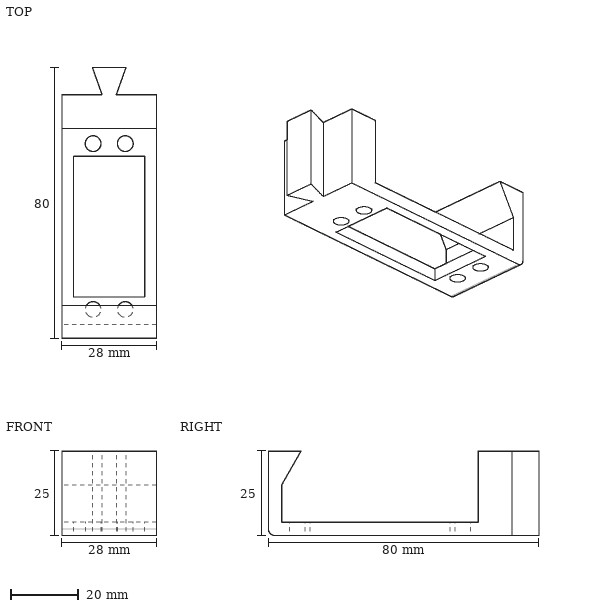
import cadquery as cq

width = 28.0
height = 25.0
floor_thickness = 4.0
front_wall_thickness = 4.0
back_wall_thickness = 10.0
body_length = 72.0
front_edge_radius = 2.0

lip_overhang = 5.7
lip_height = 10.0

dovetail_length = 8.0
dovetail_root_width = 4.3
dovetail_tip_width = 10.0

window_width = 21.0
window_length = 41.5
window_center_y = 33.0
hole_diameter = 4.6
hole_spacing_x = 9.5
hole_spacing_y = 49.0


def make_body():
    """U-shaped side profile, drawn in the YZ plane and centred across X."""
    back_wall_y = body_length - back_wall_thickness
    profile = [
        (0, 0),
        (body_length, 0),
        (body_length, height),
        (back_wall_y, height),
        (back_wall_y, floor_thickness),
        (front_wall_thickness, floor_thickness),
        (front_wall_thickness, height - lip_height),
        (front_wall_thickness + lip_overhang, height),
        (0, height),
    ]
    body = cq.Workplane("YZ").polyline(profile).close().extrude(width / 2, both=True)
    return body.faces("<Y").edges("<Z").fillet(front_edge_radius)


def make_dovetail():
    """Full-height tail that widens away from the back face."""
    tip_y = body_length + dovetail_length
    outline = [
        (-dovetail_root_width / 2, body_length),
        (dovetail_root_width / 2, body_length),
        (dovetail_tip_width / 2, tip_y),
        (-dovetail_tip_width / 2, tip_y),
    ]
    return cq.Workplane("XY").polyline(outline).close().extrude(height)


def make_floor_openings():
    """Window and four screw holes, cutting through the floor only."""
    floor = cq.Workplane("XY").center(0, window_center_y)
    window = floor.rect(window_width, window_length).extrude(floor_thickness)
    holes = (
        floor.rarray(hole_spacing_x, hole_spacing_y, 2, 2)
        .circle(hole_diameter / 2)
        .extrude(floor_thickness)
    )
    return window.union(holes)


result = make_body().union(make_dovetail()).cut(make_floor_openings())